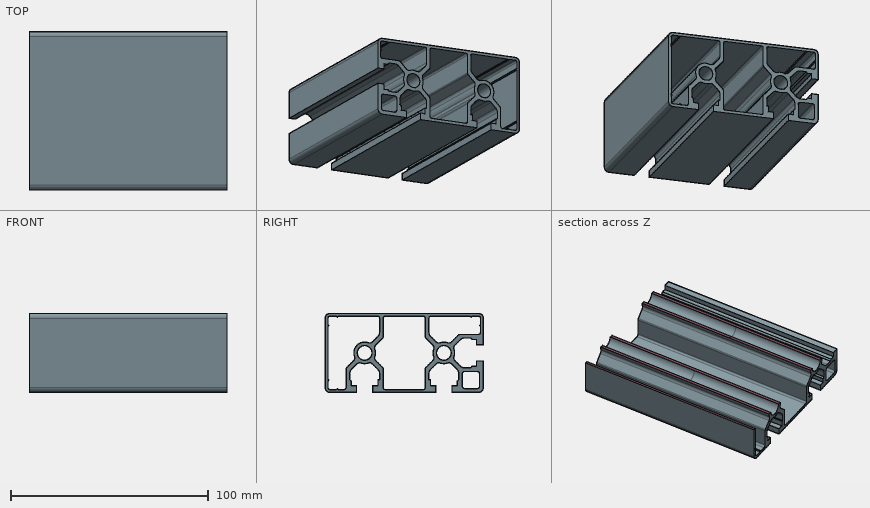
import cadquery as cq
import math

length = 100.0
width = 80.0
height = 40.0
half_width = width / 2
half_height = height / 2
outer_radius = 2.5
skin = 1.5

core_y = width / 4
bore_diameter = 7.3
ring_radius = 5.5
web_half_thickness = 1.2
web_offset = web_half_thickness * math.sqrt(2)
root_radius = 2.0

mouth_half = 4.0
lip_depth = 3.5
shoulder_half = 6.7
shoulder_depth = 6.5
slot_half = 7.5
slot_bend_radius = 3.0
shoulder_step = slot_half - shoulder_half

wall_half = 9.4
wall_bend_radius = 1.0
cavity_radius = 1.0
box_radius = 1.2
box_skin = 2.0

rib_corner_distance = 6.2
rib_height = 0.5
rib_width = 0.9

inner_y = half_width - skin
inner_z = half_height - skin
wall_y = core_y - wall_half
wall_bend = wall_half - web_offset
slot_bend = slot_half + web_offset
match_tolerance = 0.0001


def prism(points):
    """Extrude a closed Y-Z outline along the whole profile."""
    return cq.Workplane("YZ").polyline(points).close().extrude(length / 2, both=True)


def cylinder(y, radius):
    """Full-length cylinder on a core axis, its seam hidden inside a web."""
    body = cq.Workplane("YZ").circle(radius).extrude(length / 2, both=True)
    return body.rotate((0, 0, 0), (1, 0, 0), 45).translate((0, y, 0))


def round_corners(body, points, radius):
    """Round the lengthwise edges that pass through the given Y-Z points."""
    for y, z in points:
        body = body.edges(cq.selectors.NearestToPointSelector((0, y, z))).fillet(radius)
    return body


def clear_ring(body, y):
    """Keep the core ring out of a cavity and round the roots of its webs."""
    def on_ring(edge):
        center = edge.Center()
        return abs(math.hypot(center.y - y, center.z) - ring_radius) < match_tolerance

    body = body.cut(cylinder(y, ring_radius))
    return body.newObject(body.edges("|X").filter(on_ring).vals()).fillet(root_radius)


def slot(y, quarter_turns, plus_chamfer, minus_chamfer):
    """T-slot opening downward from its core, then turned about the core axis.

    The chamfers soften the shoulder steps on the +Y and -Y sides (before turning).
    """
    def side(sign, chamfer):
        return [
            (sign * slot_half, -slot_bend),
            (sign * slot_half, shoulder_depth - half_height),
            (sign * shoulder_half, shoulder_depth - half_height - chamfer),
            (sign * shoulder_half, lip_depth - half_height),
            (sign * mouth_half, lip_depth - half_height),
            (sign * mouth_half, -half_height),
        ]

    outline = [(0, -web_offset)] + side(1, plus_chamfer) + side(-1, minus_chamfer)[::-1]
    body = clear_ring(prism(outline), 0)
    bends = [(sign * slot_half, -slot_bend) for sign in (1, -1)]
    body = round_corners(body, bends, slot_bend_radius)
    return body.rotate((0, 0, 0), (1, 0, 0), 90 * quarter_turns).translate((0, y, 0))


def middle_cavity():
    """Cavity between the two cores."""
    corners = [(sy * wall_y, sz * inner_z) for sy in (1, -1) for sz in (1, -1)]
    body = prism([
        (wall_y, inner_z), (wall_y, wall_bend), (core_y - web_offset, 0),
        (wall_y, -wall_bend), (wall_y, -inner_z), (-wall_y, -inner_z),
        (-wall_y, -wall_bend), (web_offset - core_y, 0), (-wall_y, wall_bend), (-wall_y, inner_z),
    ])
    bends = [(sy * wall_y, sz * wall_bend) for sy in (1, -1) for sz in (1, -1)]
    body = clear_ring(clear_ring(body, core_y), -core_y)
    body = round_corners(body, bends, wall_bend_radius)
    return round_corners(body, corners, cavity_radius)


def upper_cavity():
    """Cavity above the side slot."""
    near_y = core_y - slot_half
    bend_y = core_y + wall_bend
    corners = [(near_y, inner_z), (inner_y, inner_z), (inner_y, wall_half)]
    body = prism([
        (near_y, inner_z), (inner_y, inner_z), (inner_y, wall_half),
        (bend_y, wall_half), (core_y, web_offset), (near_y, slot_bend),
    ])
    body = clear_ring(body, core_y)
    body = round_corners(body, [(bend_y, wall_half)], wall_bend_radius)
    body = round_corners(body, [(near_y, slot_bend)], slot_bend_radius)
    return round_corners(body, corners, cavity_radius)


def end_cavity():
    """Cavity that wraps around the second core beside the closed wall."""
    near_y = slot_half - core_y
    lower_y = -core_y - wall_half
    body = prism([
        (near_y, inner_z), (-inner_y, inner_z), (-inner_y, -inner_z), (lower_y, -inner_z),
        (lower_y, -wall_bend), (-core_y - web_offset, 0), (-core_y, web_offset), (near_y, slot_bend),
    ])
    corners = [(near_y, inner_z), (-inner_y, inner_z), (-inner_y, -inner_z), (lower_y, -inner_z)]
    body = clear_ring(body, -core_y)
    body = round_corners(body, [(lower_y, -wall_bend)], wall_bend_radius)
    body = round_corners(body, [(near_y, slot_bend)], slot_bend_radius)
    return round_corners(body, corners, cavity_radius)


def corner_box():
    """Closed square cavity between the side slot and the bottom slot."""
    near = wall_half
    far = half_height - box_skin
    return (
        cq.Workplane("YZ")
        .center(core_y + (near + far) / 2, -(near + far) / 2)
        .rect(far - near, far - near)
        .extrude(length / 2, both=True)
        .edges("|X")
        .fillet(box_radius)
    )


def inner_ribs():
    """Small triangular ribs on the outer walls of the upper and end cavities."""
    y = half_width - rib_corner_distance
    z = half_height - rib_corner_distance
    half = rib_width / 2

    def wall_rib(sy, sz):
        return prism([
            (sy * inner_y, sz * z - half), (sy * inner_y, sz * z + half),
            (sy * (inner_y - rib_height), sz * z),
        ])

    def face_rib(sy, sz):
        return prism([
            (sy * y - half, sz * inner_z), (sy * y + half, sz * inner_z),
            (sy * y, sz * (inner_z - rib_height)),
        ])

    corners = [(1, 1), (-1, 1), (-1, -1)]
    return [rib(sy, sz) for rib in (wall_rib, face_rib) for sy, sz in corners]


body = cq.Workplane("XY").box(length, width, height).edges("|X").fillet(outer_radius)
for cavity in (middle_cavity(), upper_cavity(), end_cavity(), corner_box()):
    body = body.cut(cavity)

body = body.cut(slot(core_y, 0, shoulder_step, 0))
body = body.cut(slot(core_y, 1, shoulder_step, shoulder_step))
body = body.cut(slot(-core_y, 0, 0, shoulder_step))
for y in (core_y, -core_y):
    body = body.cut(cylinder(y, bore_diameter / 2))

for rib in inner_ribs():
    body = body.union(rib)

result = body